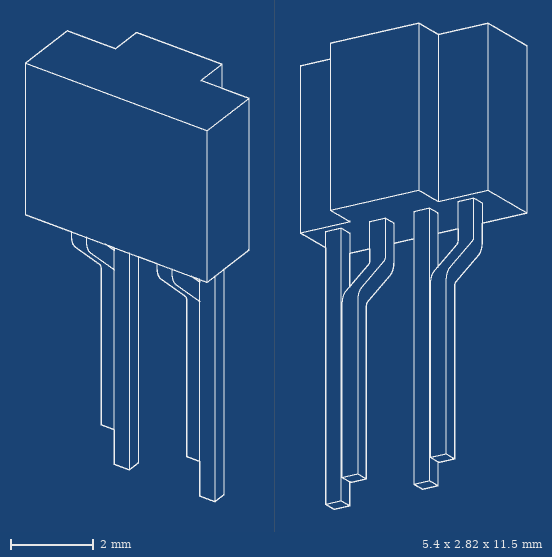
import math
import cadquery as cq

LEAD_PITCH = 1.27

HOUSING_WIDTH = 5.4
HOUSING_HEIGHT = 4.38
HOUSING_DEPTH = 1.8
STEP_WIDTH = 2 * LEAD_PITCH
STEP_DEPTH = HOUSING_DEPTH / 2

OVERALL_HEIGHT = 11.52
LEAD_COUNT = 4
LEAD_WIDTH = 0.45
LEAD_THICKNESS = 0.4
LEAD_FRONT_Y = 1.15
LEAD_CENTER_Y = LEAD_FRONT_Y + LEAD_THICKNESS / 2
STRAIGHT_LEAD_LENGTH = OVERALL_HEIGHT - HOUSING_HEIGHT
BENT_LEAD_SHORTFALL = 0.02
BENT_LEAD_LENGTH = STRAIGHT_LEAD_LENGTH - BENT_LEAD_SHORTFALL

BEND_START_DROP = 1.0
BEND_ANGLE = math.radians(45)
BEND_INNER_RADIUS = 0.2
BEND_RADIUS = BEND_INNER_RADIUS + LEAD_THICKNESS / 2
BENT_LEAD_OFFSET = LEAD_PITCH


def make_housing():
    """Full-width block with a narrower step centred on its rear face."""
    block = cq.Workplane("XY").box(
        HOUSING_WIDTH, HOUSING_DEPTH, HOUSING_HEIGHT, centered=(True, False, False)
    )
    step = (
        cq.Workplane("XY")
        .box(STEP_WIDTH, STEP_DEPTH, HOUSING_HEIGHT, centered=(True, False, False))
        .translate((0, HOUSING_DEPTH, 0))
    )
    return block.union(step)


def lead_section(x):
    """Rectangular lead cross-section on the underside of the housing."""
    return cq.Workplane("XY").center(x, LEAD_CENTER_Y).rect(LEAD_WIDTH, LEAD_THICKNESS)


def make_straight_lead(x):
    return lead_section(x).extrude(-STRAIGHT_LEAD_LENGTH)


def make_bent_lead(x):
    """Lead that steps rearward by one pitch, swept along its centre line."""
    arc_shift = BEND_RADIUS * (1 - math.cos(BEND_ANGLE))
    arc_drop = BEND_RADIUS * math.sin(BEND_ANGLE)
    slope_shift = BENT_LEAD_OFFSET - 2 * arc_shift
    slope_drop = slope_shift / math.tan(BEND_ANGLE)
    straight_tail = BENT_LEAD_LENGTH - BEND_START_DROP - 2 * arc_drop - slope_drop

    center_line = (
        cq.Workplane("YZ", origin=(x, 0, 0))
        .moveTo(LEAD_CENTER_Y, 0)
        .line(0, -BEND_START_DROP)
        .tangentArcPoint((arc_shift, -arc_drop))
        .line(slope_shift, -slope_drop)
        .tangentArcPoint((arc_shift, -arc_drop))
        .line(0, -straight_tail)
    )
    return lead_section(x).sweep(center_line)


housing = make_housing()

leads = []
for index in range(LEAD_COUNT):
    lead_x = (index - (LEAD_COUNT - 1) / 2) * LEAD_PITCH
    make_lead = make_bent_lead if index % 2 == 0 else make_straight_lead
    leads.append(make_lead(lead_x))

result = cq.Compound.makeCompound([housing.val(), *[lead.val() for lead in leads]])